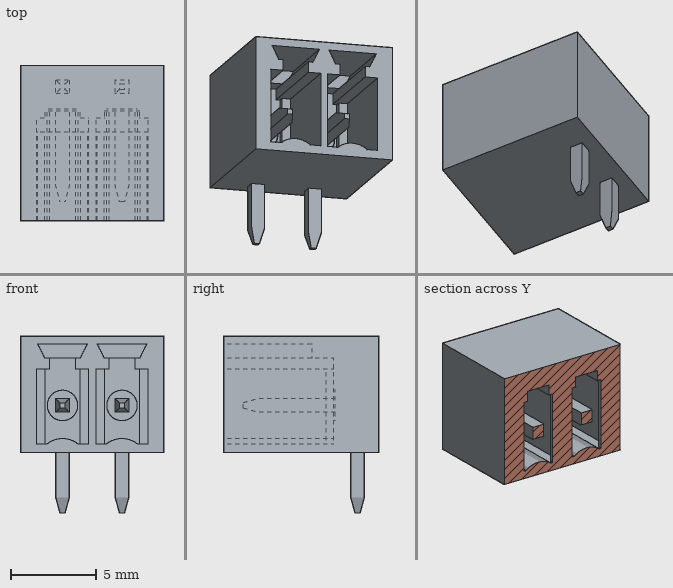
import cadquery as cq

housing_width = 8.41
housing_depth = 9.14
housing_height = 6.85
overall_height = 10.41

pole_count = 2
pitch = 3.5
pin_size = 0.8
pin_tip_size = 0.31
pin_taper_length = 0.9
pin_axis_height = 2.77
pin_front_gap = 1.15
tail_length = overall_height - housing_height
tail_to_back = 1.26

cavity_width = 3.08
cavity_floor = 0.51
cavity_roof = 4.92
cavity_depth = 6.04
center_band_width = 2.04
center_band_depth = 6.45
collar_diameter = 1.79
collar_recess = 0.1

floor_rib_width = 1.81
floor_rib_rise = 0.31

neck_width = 1.55
dovetail_floor = 5.57
dovetail_roof = 6.38
dovetail_floor_width = 2.1
dovetail_roof_width = 2.91
dovetail_depth = 5.2

tail_y = housing_depth - tail_to_back
pole_positions = [(i - (pole_count - 1) / 2) * pitch for i in range(pole_count)]


def front_plane(y):
    """XZ sketch plane at depth y; positive extrusion runs toward -Y."""
    return cq.Workplane("XZ", origin=(0, y, 0))


def box_between(x, width, y_start, y_end, z_start, z_end):
    return cq.Workplane("XY").box(
        width, y_end - y_start, z_end - z_start, centered=(True, False, False)
    ).translate((x, y_start, z_start))


def floor_rib(x):
    half = floor_rib_width / 2
    return (
        front_plane(0)
        .moveTo(x - half, cavity_floor)
        .threePointArc((x, cavity_floor + floor_rib_rise), (x + half, cavity_floor))
        .close()
        .extrude(-center_band_depth)
    )


def dovetail(x):
    floor_half = dovetail_floor_width / 2
    roof_half = dovetail_roof_width / 2
    return (
        front_plane(0)
        .polyline([
            (x - floor_half, dovetail_floor),
            (x + floor_half, dovetail_floor),
            (x + roof_half, dovetail_roof),
            (x - roof_half, dovetail_roof),
        ])
        .close()
        .extrude(-dovetail_depth)
    )


def pole_pocket(x):
    """Everything removed from the housing for one pole."""
    cavity = box_between(x, cavity_width, 0, cavity_depth, cavity_floor, cavity_roof)
    band = box_between(x, center_band_width, 0, center_band_depth, cavity_floor, cavity_roof)
    neck = box_between(x, neck_width, 0, center_band_depth, cavity_floor, dovetail_floor)
    collar = (
        front_plane(center_band_depth)
        .center(x, pin_axis_height)
        .circle(collar_diameter / 2)
        .extrude(-collar_recess)
    )
    return cavity.union(band).union(neck).cut(floor_rib(x)).union(dovetail(x)).union(collar)


def tapered_tip(plane):
    """Square pyramid frustum growing from the plane along its normal."""
    return (
        cq.Workplane(plane)
        .rect(pin_size, pin_size)
        .workplane(offset=pin_taper_length)
        .rect(pin_tip_size, pin_tip_size)
        .loft(combine=True)
    )


def pin(x):
    """Contact running back from the cavity, then down through the underside."""
    half = pin_size / 2
    taper_y = pin_front_gap + pin_taper_length
    taper_z = pin_taper_length - tail_length
    contact = box_between(
        x, pin_size, taper_y, tail_y + half, pin_axis_height - half, pin_axis_height + half
    )
    tail = box_between(x, pin_size, tail_y - half, tail_y + half, taper_z, pin_axis_height)
    contact_tip = tapered_tip(cq.Plane((x, taper_y, pin_axis_height), (1, 0, 0), (0, -1, 0)))
    tail_tip = tapered_tip(cq.Plane((x, tail_y, taper_z), (1, 0, 0), (0, 0, -1)))
    return contact.union(tail).union(contact_tip).union(tail_tip)


result = box_between(0, housing_width, 0, housing_depth, 0, housing_height)
for pole_x in pole_positions:
    result = result.cut(pole_pocket(pole_x)).union(pin(pole_x))